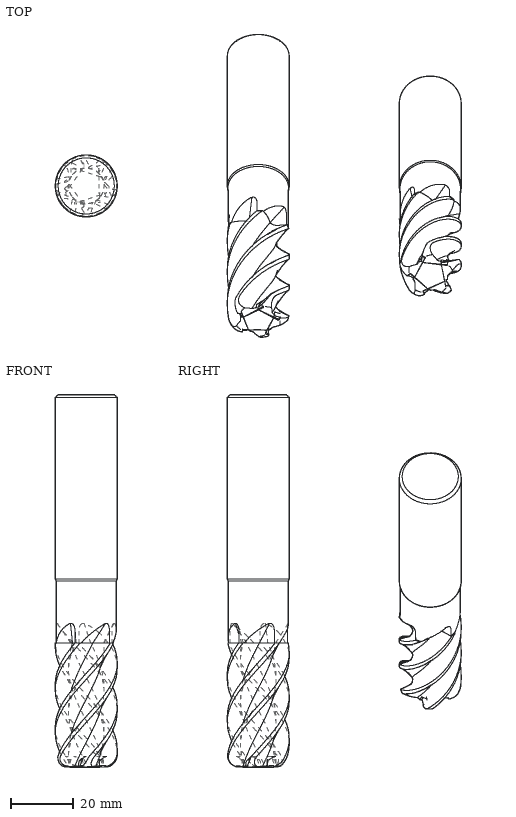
import cadquery as cq
import math

full_turn = 360.0
total_length = 120.0
cutter_diameter = total_length / 6.0
cutter_radius = cutter_diameter / 2.0
cutting_length = cutter_diameter * 2.0
corner_radius = cutter_diameter / 5.0

neck_radius = 9.7
neck_top = 60.0
step_height = 0.6
shank_chamfer = 1.0

flute_count = 5
flute_pitch = full_turn / flute_count
helix_lead = 69.4
first_edge_angle = 41.0

land_angle = 10.0
rake_foot_radius = 7.0
rake_foot_angle = 6.0
root_mid_radius = 5.9
root_mid_angle = 15.0
root_radius = 5.8
root_angle = 29.0
wall_curl = 3.6
rake_overrun = 3.0
wall_overrun = 2.0

runout_height = 6.4
runout_depth = 4.5

gash_height = 3.5
gash_lean = 1.5
gash_width = 3.6
gash_inner_reach = 2.4
gash_outer_reach = 7.2
relief_width = 7.2
relief_height = 0.6


def polar(radius, angle):
    """Vector in the XY plane from a radius and an angle in degrees."""
    radians = math.radians(angle)
    return cq.Vector(radius * math.cos(radians), radius * math.sin(radians), 0)


def edge_angle_at(index, z):
    """Angle of one helical cutting edge at height z."""
    return first_edge_angle + index * flute_pitch + full_turn * z / helix_lead


def rake_line(edge_angle):
    """Inner and outer end of the straight rake face in a cross-section."""
    foot = polar(rake_foot_radius, edge_angle - rake_foot_angle)
    edge = polar(cutter_radius, edge_angle)
    return foot, edge


def extend(start, end, factor):
    """Point on the line from start through end, at a multiple of their distance."""
    return start + (end - start) * factor


def flute_section(edge_angle, z):
    """Closed outline at height z of the space in front of one cutting edge."""
    rake_foot, edge = rake_line(edge_angle)
    root_mid = polar(root_mid_radius, edge_angle - root_mid_angle)
    root_end = polar(root_radius, edge_angle - root_angle)
    heel = polar(cutter_radius, edge_angle - flute_pitch + land_angle)
    rake_out = extend(rake_foot, edge, rake_overrun)
    wall_side = (root_end - heel).cross(cq.Vector(0, 0, 1)).normalized()
    heel_out = extend(root_end, heel, wall_overrun) - wall_side * wall_curl
    outline = cq.Wire.assembleEdges([
        cq.Edge.makeLine(rake_out, rake_foot),
        cq.Edge.makeThreePointArc(rake_foot, root_mid, root_end),
        cq.Edge.makeThreePointArc(root_end, heel, heel_out),
        cq.Edge.makeLine(heel_out, rake_out),
    ])
    return outline.moved(cq.Location(cq.Vector(0, 0, z)))


def helical_flute(index):
    """Flute space twisted over the whole cutting length."""
    return cq.Solid.extrudeLinearWithRotation(
        flute_section(edge_angle_at(index, 0), 0),
        [],
        cq.Vector(0, 0, 0),
        cq.Vector(0, 0, cutting_length),
        full_turn * cutting_length / helix_lead,
    )


def flute_runout(index):
    """Flute space that leaves the neck straight, sliding outward along its rake face."""
    edge_angle = edge_angle_at(index, cutting_length)
    foot, edge = rake_line(edge_angle)
    outward = (edge - foot).normalized() * runout_depth
    travel = outward + cq.Vector(0, 0, runout_height)
    return cq.Solid.extrudeLinear(flute_section(edge_angle, cutting_length), [], travel)


def end_prism(index, profile):
    """Prism along the end cutting edge of one tooth.

    Profile points are (distance behind the edge, height above the tip).
    """
    foot, edge = rake_line(edge_angle_at(index, gash_height))
    outward = (edge - foot).normalized()
    start = foot - outward * gash_inner_reach
    plane = cq.Plane(origin=start, xDir=cq.Vector(0, 0, 1).cross(outward), normal=outward)
    reach = gash_inner_reach + gash_outer_reach
    return cq.Workplane(plane).polyline(profile).close().extrude(reach)


def end_gash(index):
    """Wedge cleared in front of one end edge, with a leaning face."""
    return end_prism(index, [(-gash_lean, 0), (0, gash_height), (-gash_width, 0)])


def end_relief(index):
    """Thin wedge that makes the tooth end rise behind its edge."""
    return end_prism(index, [(-gash_lean, 0), (relief_width, relief_height), (relief_width, 0)])


def make_shank():
    """Plain shank with a relieved neck that carries the flute runouts."""
    shank_bottom = neck_top + step_height
    body = (
        cq.Workplane("XZ")
        .moveTo(0, cutting_length)
        .lineTo(neck_radius, cutting_length)
        .lineTo(neck_radius, neck_top)
        .lineTo(cutter_radius, shank_bottom)
        .lineTo(cutter_radius, total_length)
        .lineTo(0, total_length)
        .close()
        .revolve(full_turn, (0, 0), (0, 1))
        .faces(">Z")
        .chamfer(shank_chamfer)
    )
    for index in range(flute_count):
        body = body.cut(cq.Workplane(flute_runout(index)))
    return body


def make_cutter():
    """Fluted cutting part with rounded corners and ground end teeth."""
    body = (
        cq.Workplane("XY")
        .circle(cutter_radius)
        .extrude(cutting_length)
        .faces("<Z")
        .edges()
        .fillet(corner_radius)
    )
    for index in range(flute_count):
        body = body.cut(cq.Workplane(helical_flute(index)))
    for index in range(flute_count):
        body = body.cut(end_gash(index)).cut(end_relief(index))
    return body


shank = make_shank()
cutter = make_cutter()
result = cq.Compound.makeCompound([shank.solids().val(), cutter.solids().val()])